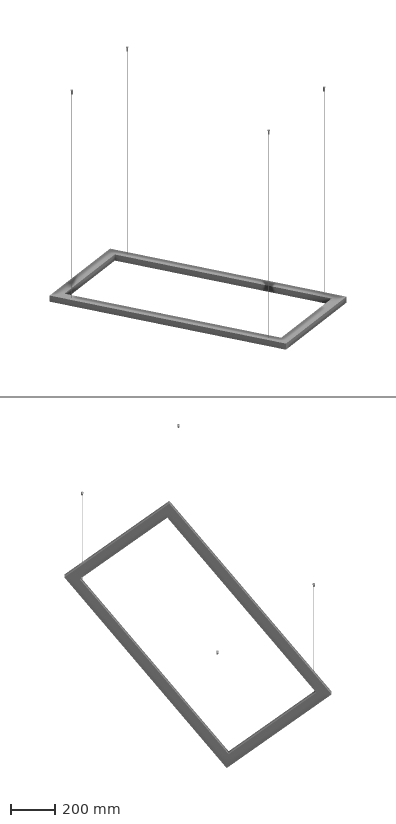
import cadquery as cq

LENGTH = 1200.0
WIDTH = 600.0
OPENING_LENGTH = 1100.0
BEAM_HEIGHT = 30.0
WALL = 2.0
SEAM_OFFSET = 7.5
LONG_BEAM_PIECES = 3

TOTAL_HEIGHT = 1054.0
WIRE_DIAMETER = 1.0
WIRE_HOLE_DIAMETER = 3.0
FLANGE_DIAMETER = 11.0
FLANGE_THICKNESS = 3.0
SLEEVE_DIAMETER = 9.0
SLEEVE_LENGTH = 19.0
TIP_DIAMETER = 4.0
TIP_LENGTH = 4.0

LONG_PIECE = LENGTH / LONG_BEAM_PIECES
BEAM_WIDTH = (LENGTH - OPENING_LENGTH) / 2
BEAM_X = (LENGTH - BEAM_WIDTH) / 2
BEAM_Y = (WIDTH - BEAM_WIDTH) / 2
WIRE_X = LENGTH / 2 - LONG_PIECE / 4
WIRE_POINTS = [(x, y) for x in (-WIRE_X, WIRE_X) for y in (-BEAM_Y, BEAM_Y)]
GRIP_LENGTH = FLANGE_THICKNESS + SLEEVE_LENGTH + TIP_LENGTH


def ring(inset):
    """Rectangular ring whose faces all lie `inset` inside the outer faces of the frame."""
    section_width = BEAM_WIDTH - 2 * inset
    return (
        cq.Workplane(origin=(0, 0, inset))
        .rect(LENGTH - 2 * inset, WIDTH - 2 * inset)
        .rect(LENGTH - 2 * (inset + section_width), WIDTH - 2 * (inset + section_width))
        .extrude(BEAM_HEIGHT - 2 * inset)
    )


def joint_slab(x, y, angle):
    """Slab across a beam at (x, y); `angle` turns its thickness away from the X axis."""
    reach = 2 * BEAM_WIDTH
    return (
        cq.Workplane()
        .box(2 * SEAM_OFFSET, reach, BEAM_HEIGHT, centered=(True, True, False))
        .rotate((0, 0, 0), (0, 0, 1), angle)
        .translate((x, y, 0))
    )


def joint_slabs():
    """Slabs at the joints of the straight beams and at the four mitred corners."""
    slabs = []
    for side in (-1, 1):
        slabs.append(joint_slab(side * BEAM_X, 0, 90))
        for joint in range(1, LONG_BEAM_PIECES):
            slabs.append(joint_slab(joint * LONG_PIECE - LENGTH / 2, side * BEAM_Y, 0))
        for end in (-1, 1):
            slabs.append(joint_slab(end * BEAM_X, side * BEAM_Y, -45 * end * side))
    return slabs


def make_housing():
    """Closed tube with flush collars, whose seams stay on its faces, and four wire holes."""
    wire_holes = (
        cq.Workplane(origin=(0, 0, BEAM_HEIGHT - WALL))
        .pushPoints(WIRE_POINTS)
        .circle(WIRE_HOLE_DIAMETER / 2)
        .extrude(WALL)
    )
    tube = ring(0).cut(ring(WALL)).cut(wire_holes)
    housing = tube
    for slab in joint_slabs():
        collar = tube.intersect(slab)
        housing = housing.cut(slab, clean=False).union(collar, clean=False)
    return housing.solids()


def make_wire(x, y):
    """Straight wire from the core up to the underside of the grip."""
    foot = BEAM_HEIGHT - WALL
    length = TOTAL_HEIGHT - GRIP_LENGTH - foot
    return cq.Workplane(origin=(x, y, foot)).circle(WIRE_DIAMETER / 2).extrude(length)


def make_grip(x, y):
    """Ceiling grip: a flange on top, a sleeve below it and a narrow tip that holds the wire."""
    return (
        cq.Workplane(origin=(x, y, TOTAL_HEIGHT))
        .circle(FLANGE_DIAMETER / 2)
        .extrude(-FLANGE_THICKNESS)
        .faces("<Z")
        .workplane()
        .circle(SLEEVE_DIAMETER / 2)
        .extrude(SLEEVE_LENGTH)
        .faces("<Z")
        .workplane()
        .circle(TIP_DIAMETER / 2)
        .extrude(TIP_LENGTH)
    )


housing = make_housing()
core = ring(WALL)
wires = [make_wire(x, y).val() for x, y in WIRE_POINTS]
grips = [make_grip(x, y).val() for x, y in WIRE_POINTS]

result = cq.Compound.makeCompound([housing.val(), core.val(), *wires, *grips])